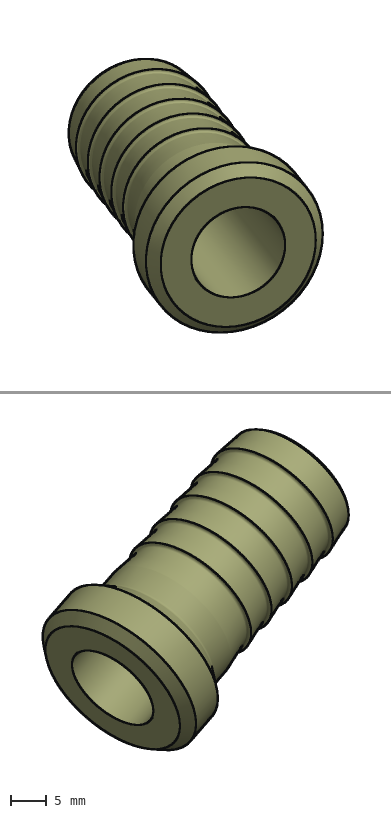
import cadquery as cq
import math

length = 44.0
bore_radius = 14.0 / 2
crest_radius = 21.0 / 2
head_radius = 26.4 / 2

barb_count = 6
barbed_length = 30.0
barb_pitch = barbed_length / barb_count
root_radius = 9.95
groove_fillet = 0.4
nose_chamfer = 0.3
bore_chamfer = 0.3

shoulder_end = 37.0
shoulder_start = shoulder_end - (head_radius - crest_radius)
shoulder_fillet = 0.7
head_chamfer = 1.65


def add_barbs(profile):
    """Draw the tapered barbs; each crest but the last drops to a filleted root."""
    for barb in range(1, barb_count + 1):
        crest_x = barb * barb_pitch
        profile = profile.lineTo(crest_x, crest_radius)
        if barb < barb_count:
            arc_offset = groove_fillet * (1 - math.sqrt(0.5))
            profile = (
                profile.lineTo(crest_x, root_radius + groove_fillet)
                .threePointArc(
                    (crest_x + arc_offset, root_radius + arc_offset),
                    (crest_x + groove_fillet, root_radius),
                )
            )
    return profile


def add_shoulder(profile):
    """Draw the plain collar, blended into the 45 degree shoulder."""
    half_turn = math.radians(45) / 2
    tangent_length = shoulder_fillet * math.tan(half_turn)
    arc_start_x = shoulder_start - tangent_length
    arc_center_r = crest_radius + shoulder_fillet

    def arc_point(angle):
        return (
            arc_start_x + shoulder_fillet * math.sin(angle),
            arc_center_r - shoulder_fillet * math.cos(angle),
        )

    return (
        profile.lineTo(*arc_point(0))
        .threePointArc(arc_point(half_turn), arc_point(2 * half_turn))
        .lineTo(shoulder_end, head_radius)
    )


profile = (
    cq.Workplane("XY")
    .moveTo(0, bore_radius + bore_chamfer)
    .lineTo(0, root_radius - nose_chamfer)
    .lineTo(nose_chamfer, root_radius)
)
profile = add_barbs(profile)
profile = add_shoulder(profile)
profile = (
    profile.lineTo(length - head_chamfer, head_radius)
    .lineTo(length, head_radius - head_chamfer)
    .lineTo(length, bore_radius)
    .lineTo(bore_chamfer, bore_radius)
    .close()
)

result = profile.revolve(360, (0, 0, 0), (1, 0, 0))